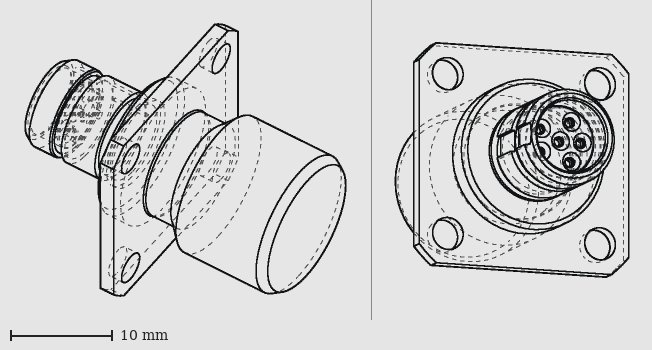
import cadquery as cq
import math

LENGTH = 30.5

NOSE_RADIUS = 4.75
NOSE_TIP_RADIUS = 4.25
NOSE_TAPER_END = 0.85
NOSE_BACK_EDGE = 3.23
BACK_EDGE_DROP = 0.12
FIRST_GROOVE_START = 3.45
FIRST_GROOVE_END = 4.65
FIRST_GROOVE_RADIUS = 4.2
SECOND_GROOVE_START = 8.6
SECOND_GROOVE_END = 9.97
SECOND_GROOVE_RADIUS = 4.12

SHOULDER_START = 10.5
SHOULDER_RADIUS = 7.5
SHOULDER_CHAMFER = 0.5

PLATE_START = 13.45
PLATE_THICKNESS = 1.55
PLATE_SIDE = 22.0
PLATE_CORNER_RADIUS = 14.35
PLATE_HOLE_OFFSET = 8.0
PLATE_HOLE_DIAMETER = 3.2

NECK_RADIUS = 5.67
NECK_ROOT_RADIUS = 5.75
NECK_ROOT_LENGTH = 0.25
NECK_END = 18.2
REAR_RADIUS = SHOULDER_RADIUS
REAR_CHAMFER_LENGTH = 0.98
REAR_CHAMFER_DEPTH = 0.6

KEYWAY_WIDTH = 2.1
KEYWAY_FLOOR = 4.27

BORE_RADIUS = 3.6
BORE_MOUTH_RADIUS = 3.78
BORE_DEPTH = 3.55
BORE_LEAD_IN = 0.25

INSERT_FACE = 3.17
INSERT_RADIUS = 3.5
INSERT_EDGE_FILLET = 0.18

CONTACT_CIRCLE_RADIUS = 2.3
CONTACT_ANGLES = (0, 60, 150, 210, 300)
CONTACT_MOUTH_RADIUS = 0.9
CONTACT_CONE_DEPTH = 0.5
CONTACT_BORE_RADIUS = 0.5
CONTACT_BORE_DEPTH = 0.9
CONTACT_HOLE_RADIUS = 0.4
CONTACT_HOLE_DEPTH = 1.5

PLATE_END = PLATE_START + PLATE_THICKNESS


def revolve_about_x(points):
    """Turn an (x, radius) outline that starts and ends on the axis into a solid."""
    return cq.Workplane("XY").polyline(points).close().revolve(360, (0, 0, 0), (1, 0, 0))


def make_front_body():
    return revolve_about_x([
        (0, 0),
        (0, NOSE_TIP_RADIUS),
        (NOSE_TAPER_END, NOSE_RADIUS),
        (NOSE_BACK_EDGE, NOSE_RADIUS),
        (FIRST_GROOVE_START, NOSE_RADIUS - BACK_EDGE_DROP),
        (FIRST_GROOVE_START, FIRST_GROOVE_RADIUS),
        (FIRST_GROOVE_END, FIRST_GROOVE_RADIUS),
        (FIRST_GROOVE_END, NOSE_RADIUS),
        (SECOND_GROOVE_START, NOSE_RADIUS),
        (SECOND_GROOVE_START, SECOND_GROOVE_RADIUS),
        (SECOND_GROOVE_END, SECOND_GROOVE_RADIUS),
        (SECOND_GROOVE_END, NOSE_RADIUS),
        (SHOULDER_START, NOSE_RADIUS),
        (SHOULDER_START, SHOULDER_RADIUS - SHOULDER_CHAMFER),
        (SHOULDER_START + SHOULDER_CHAMFER, SHOULDER_RADIUS),
        (PLATE_START, SHOULDER_RADIUS),
        (PLATE_START, 0),
    ])


def make_rear_body():
    flare_length = REAR_RADIUS - NECK_RADIUS
    return revolve_about_x([
        (PLATE_END, 0),
        (PLATE_END, NECK_ROOT_RADIUS),
        (PLATE_END + NECK_ROOT_LENGTH, NECK_RADIUS),
        (NECK_END, NECK_RADIUS),
        (NECK_END + flare_length, REAR_RADIUS),
        (LENGTH - REAR_CHAMFER_LENGTH, REAR_RADIUS),
        (LENGTH, REAR_RADIUS - REAR_CHAMFER_DEPTH),
        (LENGTH, 0),
    ])


def make_plate():
    """Square plate whose corners are trimmed by a circle around the axis."""
    base = cq.Workplane("YZ").workplane(offset=PLATE_START)
    trim = base.circle(PLATE_CORNER_RADIUS).extrude(PLATE_THICKNESS)
    hole_pitch = 2 * PLATE_HOLE_OFFSET
    holes = (
        base.rarray(hole_pitch, hole_pitch, 2, 2)
        .circle(PLATE_HOLE_DIAMETER / 2)
        .extrude(PLATE_THICKNESS)
    )
    return base.rect(PLATE_SIDE, PLATE_SIDE).extrude(PLATE_THICKNESS).intersect(trim).cut(holes)


def make_keyway():
    """Flat-bottomed slot from the nose tip to the ring behind the second groove."""
    height = NOSE_RADIUS - KEYWAY_FLOOR
    return cq.Workplane("XY").box(
        SECOND_GROOVE_END, height, KEYWAY_WIDTH, centered=(False, False, True)
    ).translate((0, KEYWAY_FLOOR, 0))


def make_bore():
    return revolve_about_x([
        (0, 0),
        (0, BORE_MOUTH_RADIUS),
        (BORE_LEAD_IN, BORE_RADIUS),
        (BORE_DEPTH, BORE_RADIUS),
        (BORE_DEPTH, 0),
    ])


def make_insert():
    """Round-edged disc that leaves a narrow gap to the bore wall."""
    return (
        cq.Workplane("YZ")
        .workplane(offset=INSERT_FACE)
        .circle(INSERT_RADIUS)
        .extrude(BORE_DEPTH - INSERT_FACE)
        .faces("<X")
        .edges()
        .fillet(INSERT_EDGE_FILLET)
    )


def make_contact_holes():
    """One central contact hole and a ring of others, each a cone, a bore and a narrower hole."""
    cone_end = INSERT_FACE + CONTACT_CONE_DEPTH
    bore_end = INSERT_FACE + CONTACT_BORE_DEPTH
    hole_end = INSERT_FACE + CONTACT_HOLE_DEPTH
    hole = revolve_about_x([
        (INSERT_FACE, 0),
        (INSERT_FACE, CONTACT_MOUTH_RADIUS),
        (cone_end, CONTACT_BORE_RADIUS),
        (bore_end, CONTACT_BORE_RADIUS),
        (bore_end, CONTACT_HOLE_RADIUS),
        (hole_end, CONTACT_HOLE_RADIUS),
        (hole_end, 0),
    ])
    holes = hole
    for angle in CONTACT_ANGLES:
        y = -CONTACT_CIRCLE_RADIUS * math.cos(math.radians(angle))
        z = CONTACT_CIRCLE_RADIUS * math.sin(math.radians(angle))
        holes = holes.union(hole.translate((0, y, z)))
    return holes


result = (
    make_front_body()
    .union(make_plate())
    .union(make_rear_body())
    .cut(make_keyway())
    .cut(make_bore())
    .union(make_insert())
    .cut(make_contact_holes())
)